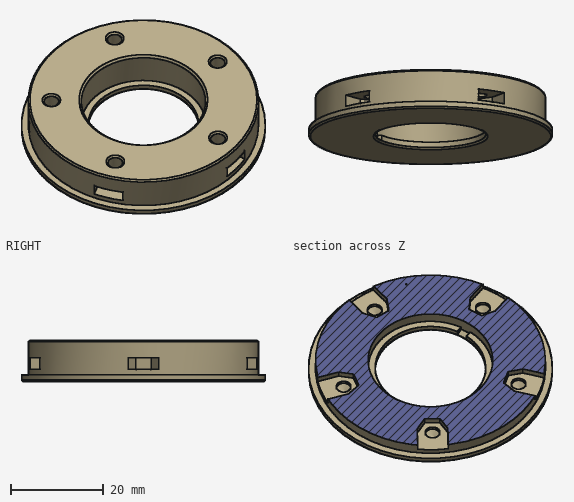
import cadquery as cq
import math

flange_diameter = 53.0
flange_thickness = 1.5
body_diameter = 50.05
height = 9.0
edge_chamfer = 0.35

bore_diameter = 24.0
counterbore_diameter = 27.0
ledge_height = 1.6
mouth_chamfer = 0.5
bottom_bore_chamfer = 0.4

notch_width = 2.45
notch_outer_floor = 0.95

hole_count = 5
hole_circle_radius = 20.0
hole_diameter = 3.2
hole_mouth_diameter = 4.0
hole_floor = 2.0
drill_point_angle = 118.0
nut_across_corners = 6.55
nut_pocket_floor = 2.65
nut_pocket_height = 2.5


def revolve_profile(profile):
    """Solid of revolution about Z from (radius, height) points."""
    return cq.Workplane("XZ").polyline(profile).close().revolve(360, (0, 0, 0), (0, 1, 0))


def make_ring():
    flange = cq.Workplane("XY").circle(flange_diameter / 2).extrude(flange_thickness)
    flange = flange.faces("<Z").edges().chamfer(edge_chamfer)
    body = cq.Workplane("XY").circle(body_diameter / 2).extrude(height)
    body = body.faces(">Z").edges().chamfer(edge_chamfer)
    return flange.union(body)


def make_bore():
    """Through bore, wider above the ledge, flaring at both faces."""
    bore_radius = bore_diameter / 2
    counterbore_radius = counterbore_diameter / 2
    profile = [
        (0, 0),
        (bore_radius + bottom_bore_chamfer, 0),
        (bore_radius, bottom_bore_chamfer),
        (bore_radius, ledge_height),
        (counterbore_radius, ledge_height),
        (counterbore_radius, height - mouth_chamfer),
        (counterbore_radius + mouth_chamfer, height),
        (0, height),
    ]
    return revolve_profile(profile)


def make_notch():
    """Notch in the ledge, its conical floor rising from the bore's lower edge to the counterbore wall."""
    bore_radius = bore_diameter / 2
    counterbore_radius = counterbore_diameter / 2
    profile = [
        (0, bottom_bore_chamfer),
        (bore_radius, bottom_bore_chamfer),
        (counterbore_radius, notch_outer_floor),
        (counterbore_radius, ledge_height),
        (0, ledge_height),
    ]
    cone = revolve_profile(profile)
    notch_span = cq.Workplane("XY").box(
        counterbore_diameter, notch_width, height, centered=(False, True, False))
    return cone.intersect(notch_span)


def make_screw_hole():
    """Blind drilled hole with a chamfered mouth and a conical bottom, centred on Z."""
    hole_radius = hole_diameter / 2
    mouth_radius = hole_mouth_diameter / 2
    point_length = hole_radius / math.tan(math.radians(drill_point_angle / 2))
    profile = [
        (0, hole_floor - point_length),
        (hole_radius, hole_floor),
        (hole_radius, height - (mouth_radius - hole_radius)),
        (mouth_radius, height),
        (0, height),
    ]
    return revolve_profile(profile)


def make_nut_pocket():
    """Hexagonal pocket centred on Z, open towards +X at its full corner width."""
    pocket = cq.Workplane("XY").workplane(offset=nut_pocket_floor)
    hexagon = pocket.transformed(rotate=(0, 0, 90)).polygon(6, nut_across_corners)
    hexagon = hexagon.extrude(nut_pocket_height)
    channel_length = body_diameter / 2 - hole_circle_radius
    channel = cq.Workplane("XY").box(
        channel_length, nut_across_corners, nut_pocket_height, centered=(False, True, False))
    channel = channel.translate((0, 0, nut_pocket_floor))
    return hexagon.union(channel)


result = make_ring().cut(make_bore()).cut(make_notch())

screw_station = make_screw_hole().union(make_nut_pocket()).translate((hole_circle_radius, 0, 0))
for index in range(hole_count):
    angle = index * 360 / hole_count
    result = result.cut(screw_station.rotate((0, 0, 0), (0, 0, 1), angle))